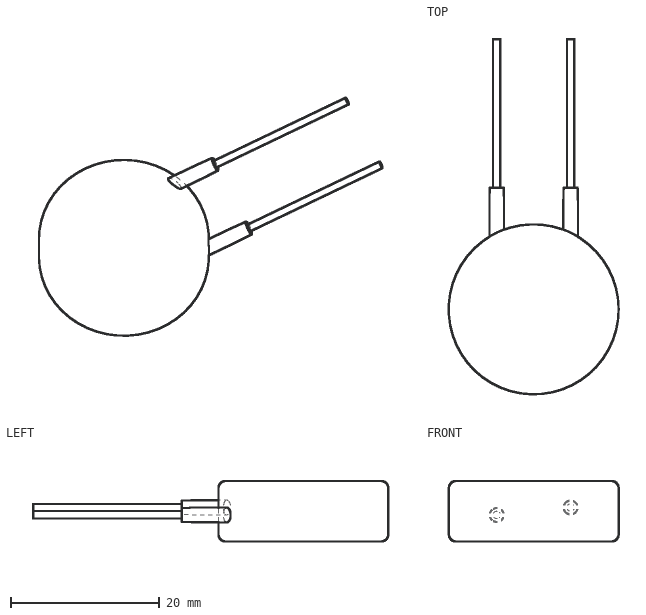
import cadquery as cq

body_radius = 11.495
body_height = 8.2
body_edge_radius = 1.0

total_length = 48.0
lead_offset_x = 5.0
lead_offset_z = 0.505
wire_radius = 0.505
wire_length = 20.0
wire_end_y = total_length - body_radius

sleeve_radius = 1.0
sleeve_end_radius = 0.95
sleeve_edge_chamfer = 0.1
sleeve_taper_length = 2.2
sleeve_root_y = 7.2
sleeve_end_y = wire_end_y - wire_length
taper_start_y = sleeve_end_y - sleeve_taper_length


def make_body():
    disc = cq.Workplane("XY").workplane(offset=-body_height / 2).circle(body_radius).extrude(body_height)
    return disc.faces("|Z").edges().fillet(body_edge_radius)


def make_lead(x, z):
    """Wire and sleeve as one solid of revolution about an axis along Y."""
    profile = [
        (0, sleeve_root_y),
        (sleeve_radius, sleeve_root_y),
        (sleeve_radius, taper_start_y),
        (sleeve_end_radius, sleeve_end_y - sleeve_edge_chamfer),
        (sleeve_end_radius - sleeve_edge_chamfer, sleeve_end_y),
        (wire_radius, sleeve_end_y),
        (wire_radius, wire_end_y),
        (0, wire_end_y),
    ]
    lead = cq.Workplane("XY").polyline(profile).close().revolve(360, (0, 0), (0, 1))
    return lead.translate((x, 0, z))


result = make_body()
for side in (-1, 1):
    result = result.union(make_lead(side * lead_offset_x, side * lead_offset_z))